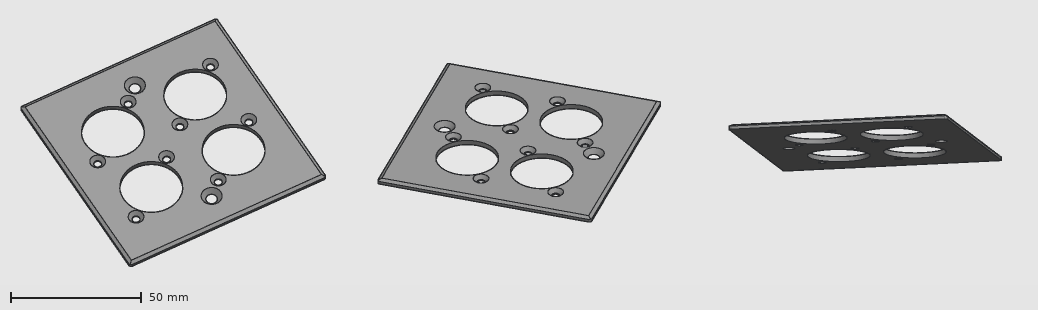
import cadquery as cq

plate_size = 86.0
plate_thickness = 2.0
bevel_width = 1.4
bevel_height = 0.8
corner_radius = 1.0

cutout_diameter = 24.0
cutout_spacing_x = 30.0
cutout_spacing_y = 36.0
connector_screw_spacing_x = 19.0
connector_screw_spacing_y = 24.0
connector_screw_diameter = 3.0
connector_head_diameter = 6.0
countersink_angle = 90.0

mount_spacing = 60.0
mount_screw_diameter = 4.35
mount_head_diameter = 8.0

cutout_centers = [
    (side_x * cutout_spacing_x / 2, side_y * cutout_spacing_y / 2)
    for side_x in (-1, 1)
    for side_y in (-1, 1)
]

connector_screws = [
    (x + side * connector_screw_spacing_x / 2, y - side * connector_screw_spacing_y / 2)
    for x, y in cutout_centers
    for side in (-1, 1)
]

mount_screws = [(side * mount_spacing / 2, 0) for side in (-1, 1)]


def make_plate():
    """Square plate with a bevelled upper rim and rounded vertical corners."""
    block = cq.Workplane("XY").rect(plate_size, plate_size).extrude(plate_thickness)
    bevelled = block.faces(">Z").chamfer(bevel_height, bevel_width)
    return bevelled.edges("|Z").fillet(corner_radius)


def on_top_face(plate, points):
    """Select points on the top face of the plate, measured from its centre."""
    return plate.faces(">Z").workplane(origin=(0, 0, plate_thickness)).pushPoints(points)


def cut_connector_openings(plate):
    """Round through openings for the connectors."""
    return on_top_face(plate, cutout_centers).hole(cutout_diameter)


def cut_connector_screw_holes(plate):
    """Through holes with countersinks that leave a short straight wall below."""
    return on_top_face(plate, connector_screws).cskHole(
        connector_screw_diameter, connector_head_diameter, countersink_angle
    )


def cut_mount_holes(plate):
    """Conical holes that taper through the whole thickness of the plate."""
    cone = cq.Solid.makeCone(mount_screw_diameter / 2, mount_head_diameter / 2, plate_thickness)
    for x, y in mount_screws:
        plate = plate.cut(cq.Workplane("XY").add(cone.translate(cq.Vector(x, y, 0))))
    return plate


result = make_plate()
result = cut_connector_openings(result)
result = cut_connector_screw_holes(result)
result = cut_mount_holes(result)